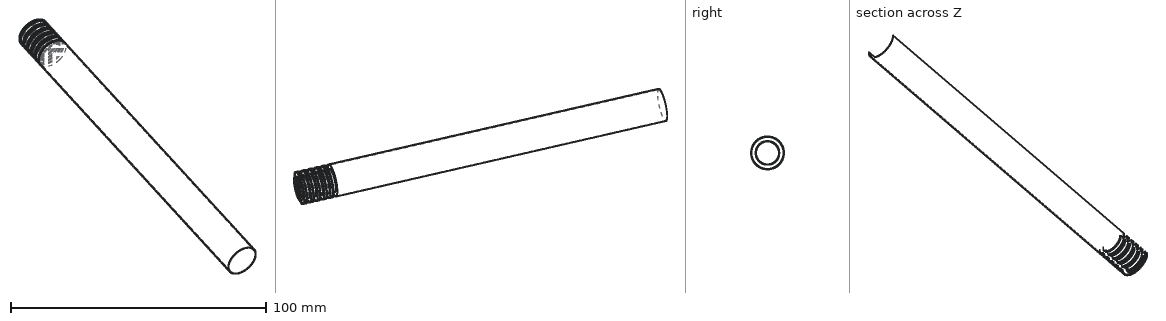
import cadquery as cq

length = 150.0
outer_diameter = 13.0
root_diameter = 9.5
wall = 0.3
ring_count = 5
ring_width = 1.4
groove_width = 1.4
end_collar = 0.8

pitch = ring_width + groove_width
body_start = end_collar + ring_count * pitch
x_min = -length / 2


def rod(start, end, diameter):
    """Solid cylinder along X; positions are measured from the -X end."""
    return (
        cq.Workplane("YZ", origin=(x_min + start, 0, 0))
        .circle(diameter / 2)
        .extrude(end - start)
    )


outside = rod(0, length, root_diameter).union(rod(body_start, length, outer_diameter))

bore_diameter = root_diameter - 2 * wall
wide_bore_diameter = outer_diameter - 2 * wall
inside = rod(0, length, bore_diameter).union(rod(body_start + wall, length, wide_bore_diameter))

for index in range(ring_count):
    ring_start = end_collar + index * pitch
    ring_end = ring_start + ring_width
    outside = outside.union(rod(ring_start, ring_end, outer_diameter))
    inside = inside.union(rod(ring_start + wall, ring_end - wall, wide_bore_diameter))

result = outside.cut(inside)